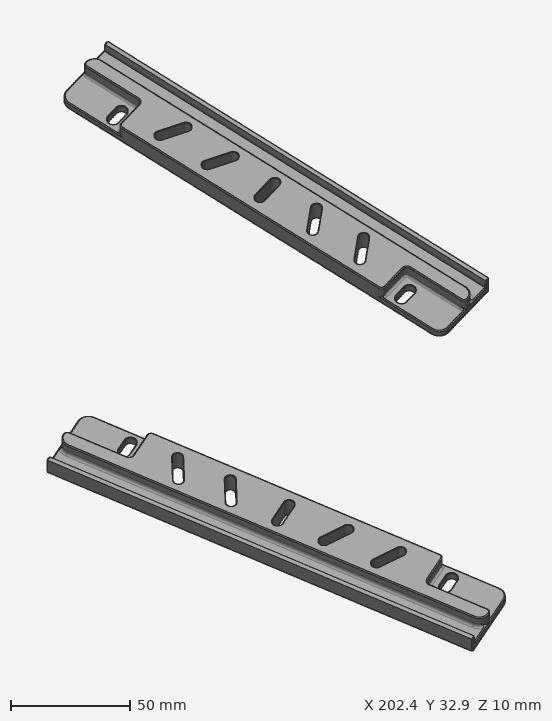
import cadquery as cq
import math

length = 202.4
width = 32.85
height = 10.0
edge_chamfer = 0.5

channel_floor = 4.5
pocket_floor = 4.0
plate_corner_radius = 5.0

lip_height = 8.8
lip_foot_height = 5.5
lip_foot_thickness = 2.4
lip_top_thickness = 2.0

bar_back_setback = 10.0
pad_half_length = 70.0
bar_back_radius = 4.7
rail_corner_radius = 2.0
pocket_root_fillet = 1.0
channel_root_fillet = 1.5

end_slot_x = 76.3
end_slot_setback = 25.2
end_slot_length = 10.6
end_slot_width = 5.2
middle_slot_pitch = 25.0
middle_slot_setback = 21.1
middle_slot_rise = 10.2
middle_slot_width = 4.5
middle_slot_tilts = (-30, -30, 0, 30, 30)
slot_mouth_chamfer = 0.3

half_length = length / 2
back = width / 2
front = -back
bar_back = back - bar_back_setback
bar_middle = bar_back - bar_back_radius
bar_front = bar_middle - rail_corner_radius


def block(size_x, y_min, y_max, z_max):
    """Box standing on Z = 0 between two Y limits, centred in X."""
    box = cq.Workplane("XY").box(size_x, y_max - y_min, z_max, centered=(True, False, False))
    return box.translate((0, y_min, 0))


def make_rail():
    """T-shaped rail with rounded upright corners; each bar end is two arcs meeting at the plate end."""
    rail = (
        cq.Workplane("XY")
        .moveTo(half_length - bar_back_radius, bar_back)
        .radiusArc((half_length, bar_middle), bar_back_radius)
        .radiusArc((half_length - rail_corner_radius, bar_front), rail_corner_radius)
        .lineTo(pad_half_length, bar_front)
        .lineTo(pad_half_length, front)
        .lineTo(-pad_half_length, front)
        .lineTo(-pad_half_length, bar_front)
        .lineTo(rail_corner_radius - half_length, bar_front)
        .radiusArc((-half_length, bar_middle), rail_corner_radius)
        .radiusArc((bar_back_radius - half_length, bar_back), bar_back_radius)
        .close()
        .extrude(height)
    )
    margin = rail_corner_radius / 2
    pad_corners = cq.selectors.BoxSelector(
        (-pad_half_length - margin, front - margin, 0),
        (pad_half_length + margin, bar_front + margin, height),
    )
    return rail.edges("|Z").edges(pad_corners).fillet(rail_corner_radius)


def make_floor_with_rail(floor_height, root_fillet, y_min, y_max):
    """Strip of the plate between two Y limits, with the rail filleted into its chamfered floor."""
    oversize = 2 * root_fillet
    slab = block(length + 2 * oversize, front - oversize, back + oversize, floor_height)
    rail = make_rail()
    rail_foot = cq.selectors.BoxSelector(
        (-half_length - root_fillet, front - root_fillet, floor_height - root_fillet / 2),
        (half_length + root_fillet, back, floor_height + root_fillet / 2),
    )
    body = slab.union(rail).edges(rail_foot).fillet(root_fillet)
    envelope = block(length, front, back, floor_height + root_fillet)
    envelope = envelope.edges("|Z and <Y").fillet(plate_corner_radius)
    envelope = envelope.faces(">Z").edges().chamfer(edge_chamfer + root_fillet)
    strip = block(length, y_min, y_max, height)
    return body.intersect(envelope).union(rail).intersect(strip)


def make_lip():
    """Lip profile in the YZ plane, run along the whole length with chamfered ends."""
    lip = (
        cq.Workplane("YZ", origin=(-half_length, 0, 0))
        .moveTo(back, 0)
        .lineTo(back, lip_height)
        .lineTo(back - lip_top_thickness, lip_height)
        .lineTo(back - lip_foot_thickness, lip_foot_height)
        .lineTo(back - lip_foot_thickness, 0)
        .close()
        .extrude(length)
    )
    return lip.faces("<X or >X").edges("not (<Z or >Y)").chamfer(edge_chamfer)


def make_body():
    """Plate, lip and rail joined, with the back corners, rail top and underside chamfered."""
    pockets = make_floor_with_rail(pocket_floor, pocket_root_fillet, front, bar_middle)
    channel = make_floor_with_rail(channel_floor, channel_root_fillet, bar_middle, back)
    body = pockets.union(channel).union(make_lip())
    body = body.edges("|Z and >Y").chamfer(edge_chamfer)
    return body.faces("<Z or >Z").edges().chamfer(edge_chamfer)


def slot(x, setback, slot_length, slot_width, tilt, floor_height):
    """Through-slot cutter with a flared mouth, lengthwise along Y and tilted about its centre."""
    centre = (x, back - setback)
    angle = 90 + tilt
    through = cq.Workplane("XY").center(*centre).slot2D(slot_length, slot_width, angle).extrude(floor_height)
    mouth_length = slot_length + 2 * slot_mouth_chamfer
    mouth_width = slot_width + 2 * slot_mouth_chamfer
    mouth = (
        cq.Workplane("XY", origin=(0, 0, floor_height))
        .center(*centre)
        .slot2D(mouth_length, mouth_width, angle)
        .extrude(-slot_mouth_chamfer, taper=45)
    )
    return through.union(mouth)


result = make_body()

middle_index = len(middle_slot_tilts) // 2
for index, tilt in enumerate(middle_slot_tilts):
    x = (index - middle_index) * middle_slot_pitch
    slot_length = middle_slot_rise / math.cos(math.radians(tilt)) + middle_slot_width
    result = result.cut(slot(x, middle_slot_setback, slot_length, middle_slot_width, tilt, height))

for x in (-end_slot_x, end_slot_x):
    result = result.cut(slot(x, end_slot_setback, end_slot_length, end_slot_width, 0, pocket_floor))